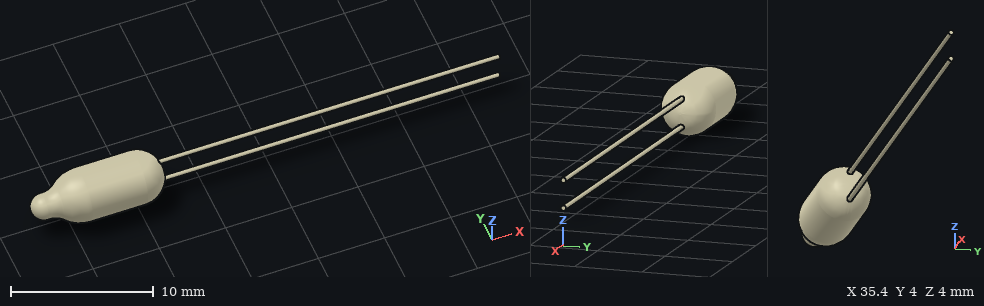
import cadquery as cq
import math

total_length = 35.4
bulb_length = 10.0
bulb_diameter = 4.0
tip_radius = 1.0
neck_start = 1.2
shoulder_start = 2.05
shoulder_start_radius = 1.27
shoulder_end = 3.9
end_round_radius = 1.9
lead_diameter = bulb_diameter / 10
lead_spacing = bulb_diameter / 2

bulb_radius = bulb_diameter / 2
wall_end = bulb_length - end_round_radius
end_flat_radius = bulb_radius - end_round_radius


def tangent_arc_middle(tangent_point, other_point):
    """Middle point of an arc that runs parallel to X at tangent_point."""
    run = other_point[0] - tangent_point[0]
    rise = other_point[1] - tangent_point[1]
    arc_radius = (run**2 + rise**2) / (2 * rise)
    half_angle = math.atan2(abs(rise), abs(run))
    return (
        tangent_point[0] + math.copysign(abs(arc_radius) * math.sin(half_angle), run),
        tangent_point[1] + arc_radius * (1 - math.cos(half_angle)),
    )


def make_bulb():
    """Revolved glass bulb with a round tip, flared neck and rounded end."""
    neck_point = (neck_start, tip_radius)
    shoulder_point = (shoulder_start, shoulder_start_radius)
    wall_point = (shoulder_end, bulb_radius)
    diagonal = math.sqrt(0.5)
    tip_middle = (tip_radius * (1 - diagonal), tip_radius * diagonal)
    end_middle = (
        wall_end + end_round_radius * diagonal,
        end_flat_radius + end_round_radius * diagonal,
    )
    profile = (
        cq.Workplane("XY")
        .moveTo(0, 0)
        .threePointArc(tip_middle, (tip_radius, tip_radius))
        .lineTo(*neck_point)
        .threePointArc(tangent_arc_middle(neck_point, shoulder_point), shoulder_point)
        .threePointArc(tangent_arc_middle(wall_point, shoulder_point), wall_point)
        .lineTo(wall_end, bulb_radius)
        .threePointArc(end_middle, (bulb_length, end_flat_radius))
        .lineTo(bulb_length, 0)
        .close()
    )
    return profile.revolve(360, (0, 0, 0), (1, 0, 0))


def make_leads():
    """Two straight wires, one above the other, rooted inside the bulb."""
    return (
        cq.Workplane("YZ", origin=(wall_end, 0, 0))
        .pushPoints([(0, -lead_spacing / 2), (0, lead_spacing / 2)])
        .circle(lead_diameter / 2)
        .extrude(total_length - wall_end)
    )


result = make_bulb().union(make_leads()).translate((-total_length / 2, 0, 0))